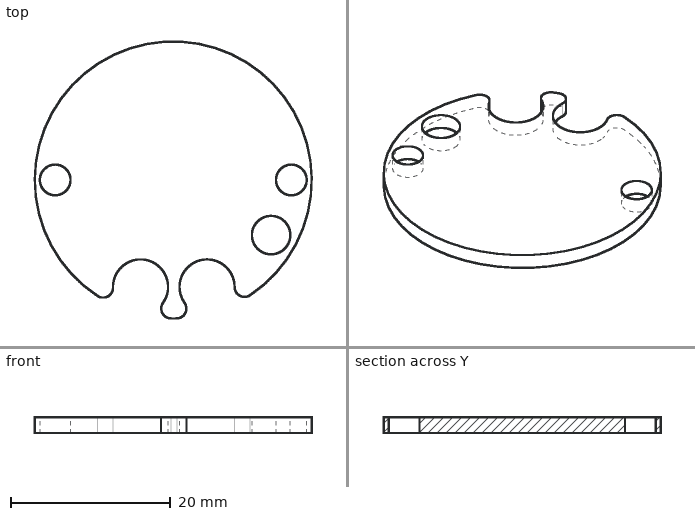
import cadquery as cq
import math

disc_radius = 17.35
thickness = 2.0

side_hole_diameter = 3.8
side_hole_offset = 14.77
large_hole_diameter = 4.8
large_hole_center = (12.25, -6.9)

notch_radius = 3.43
notch_spacing = 8.32
stem_x = 0.07
notch_y = -13.38
rim_round_radius = 1.25


def polar(radius, angle):
    return (radius * math.cos(angle), radius * math.sin(angle))


def toward(start, end, distance):
    """Point at the given distance from start on the line to end."""
    fraction = distance / math.dist(start, end)
    return tuple(a + (b - a) * fraction for a, b in zip(start, end))


def rim_round(notch_center, side):
    """Points of the round blending the rim into a notch: on the rim, midway, on the notch."""
    center_distance = disc_radius - rim_round_radius
    notch_distance = math.hypot(*notch_center)
    tangent_distance = notch_radius + rim_round_radius
    cosine = (notch_distance**2 + center_distance**2 - tangent_distance**2) / (
        2 * notch_distance * center_distance
    )
    notch_angle = math.atan2(notch_center[1], notch_center[0])
    angle = notch_angle + side * math.acos(cosine)
    center = polar(center_distance, angle)
    on_rim = polar(disc_radius, angle)
    on_notch = toward(center, notch_center, rim_round_radius)
    chord_middle = tuple((a + b) / 2 for a, b in zip(on_rim, on_notch))
    return on_rim, toward(center, chord_middle, rim_round_radius), on_notch


def add_notch(outline, notch_center):
    """Continue the outline from the rim, counterclockwise through one notch, to the rim."""
    _, entry_middle, notch_start = rim_round(notch_center, -1)
    rim_end, exit_middle, notch_end = rim_round(notch_center, 1)
    notch_top = toward(notch_center, (0, 0), notch_radius)
    return (
        outline.threePointArc(entry_middle, notch_start)
        .threePointArc(notch_top, notch_end)
        .threePointArc(exit_middle, rim_end)
    )


left_notch = (stem_x - notch_spacing / 2, notch_y)
right_notch = (stem_x + notch_spacing / 2, notch_y)
outline_start = rim_round(left_notch, -1)[0]
stem_end = rim_round(right_notch, -1)[0]

outline = cq.Workplane("XY").moveTo(*outline_start)
outline = add_notch(outline, left_notch)
outline = outline.threePointArc(polar(disc_radius, math.atan2(-disc_radius, stem_x)), stem_end)
outline = add_notch(outline, right_notch)
outline = outline.threePointArc((0, disc_radius), outline_start).close()
plate = outline.extrude(thickness)

side_holes = (
    cq.Workplane("XY")
    .pushPoints([(-side_hole_offset, 0), (side_hole_offset, 0)])
    .circle(side_hole_diameter / 2)
    .extrude(thickness)
)
large_hole = (
    cq.Workplane("XY")
    .center(*large_hole_center)
    .circle(large_hole_diameter / 2)
    .extrude(thickness)
)

result = plate.cut(side_holes).cut(large_hole)